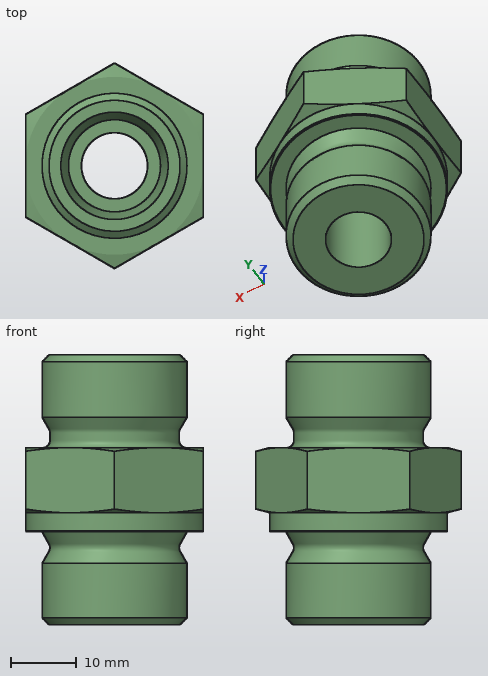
import cadquery as cq
import math

total_height = 41.0
lower_thread_top = 9.35
lower_neck_bottom = 11.1
lower_neck_top = 12.3
collar_bottom = 14.1
hex_bottom = 17.0
hex_top = 26.9
upper_thread_bottom = 31.5

thread_diameter = 22.0
neck_diameter = 19.7
collar_diameter = 27.0
end_chamfer = 1.05
collar_edge_chamfer = 0.15
neck_fillet = 1.05
undercut_angle = 30.0
lower_groove_bulge = 0.15

hex_width = collar_diameter
hex_bevel_angle = 15.0

bore_diameter = 10.0
socket_diameter = 14.0
socket_depth = 7.9
cone_half_angle = 12.0
cone_depth = 5.5

thread_radius = thread_diameter / 2
neck_radius = neck_diameter / 2
collar_radius = collar_diameter / 2
hex_corner_diameter = hex_width / math.cos(math.radians(30))


def turned_body():
    """Revolved threads, necks and collar, without the hexagon or bore."""
    groove_middle = (lower_neck_bottom + lower_neck_top) / 2
    fillet_center = (neck_radius + neck_fillet, hex_top + neck_fillet)
    fillet_reach = neck_fillet * math.sqrt(0.5)
    fillet_middle = (fillet_center[0] - fillet_reach, fillet_center[1] - fillet_reach)

    slope = math.radians(undercut_angle)
    corner_height = upper_thread_bottom - (thread_radius - neck_radius) / math.tan(slope)
    blend_start_height = corner_height - neck_fillet * math.tan(slope / 2)

    def blend_point(turn):
        return (
            neck_radius + neck_fillet * (1 - math.cos(turn)),
            blend_start_height + neck_fillet * math.sin(turn),
        )

    return (
        cq.Workplane("XZ")
        .moveTo(0, 0)
        .lineTo(thread_radius - end_chamfer, 0)
        .lineTo(thread_radius, end_chamfer)
        .lineTo(thread_radius, lower_thread_top)
        .lineTo(neck_radius + lower_groove_bulge, lower_neck_bottom)
        .threePointArc((neck_radius, groove_middle), (neck_radius + lower_groove_bulge, lower_neck_top))
        .lineTo(thread_radius, collar_bottom)
        .lineTo(collar_radius - collar_edge_chamfer, collar_bottom)
        .lineTo(collar_radius, collar_bottom + collar_edge_chamfer)
        .lineTo(collar_radius, hex_top)
        .lineTo(fillet_center[0], hex_top)
        .threePointArc(fillet_middle, (neck_radius, fillet_center[1]))
        .lineTo(*blend_point(0))
        .threePointArc(blend_point(slope / 2), blend_point(slope))
        .lineTo(thread_radius, upper_thread_bottom)
        .lineTo(thread_radius, total_height - end_chamfer)
        .lineTo(thread_radius - end_chamfer, total_height)
        .lineTo(0, total_height)
        .close()
        .revolve(360, (0, 0, 0), (0, 1, 0))
    )


def hexagon():
    """Hexagonal prism with flats facing X and conical bevels on both ends."""
    prism = (
        cq.Workplane("XY", origin=(0, 0, hex_bottom))
        .polygon(6, hex_corner_diameter)
        .extrude(hex_top - hex_bottom)
        .rotate((0, 0, 0), (0, 0, 1), 30)
    )
    envelope_radius = hex_corner_diameter
    bevel_drop = (envelope_radius - collar_radius) * math.tan(math.radians(hex_bevel_angle))
    envelope = (
        cq.Workplane("XZ")
        .moveTo(0, hex_bottom)
        .lineTo(collar_radius, hex_bottom)
        .lineTo(envelope_radius, hex_bottom + bevel_drop)
        .lineTo(envelope_radius, hex_top - bevel_drop)
        .lineTo(collar_radius, hex_top)
        .lineTo(0, hex_top)
        .close()
        .revolve(360, (0, 0, 0), (0, 1, 0))
    )
    return prism.intersect(envelope)


def bore():
    """Through bore with a socket and a conical mouth at the upper end."""
    bore_radius = bore_diameter / 2
    socket_radius = socket_diameter / 2
    mouth_radius = socket_radius + cone_depth * math.tan(math.radians(cone_half_angle))
    return (
        cq.Workplane("XZ")
        .moveTo(0, 0)
        .lineTo(bore_radius, 0)
        .lineTo(bore_radius, total_height - socket_depth)
        .lineTo(socket_radius, total_height - socket_depth)
        .lineTo(socket_radius, total_height - cone_depth)
        .lineTo(mouth_radius, total_height)
        .lineTo(0, total_height)
        .close()
        .revolve(360, (0, 0, 0), (0, 1, 0))
    )


result = turned_body().union(hexagon()).cut(bore())